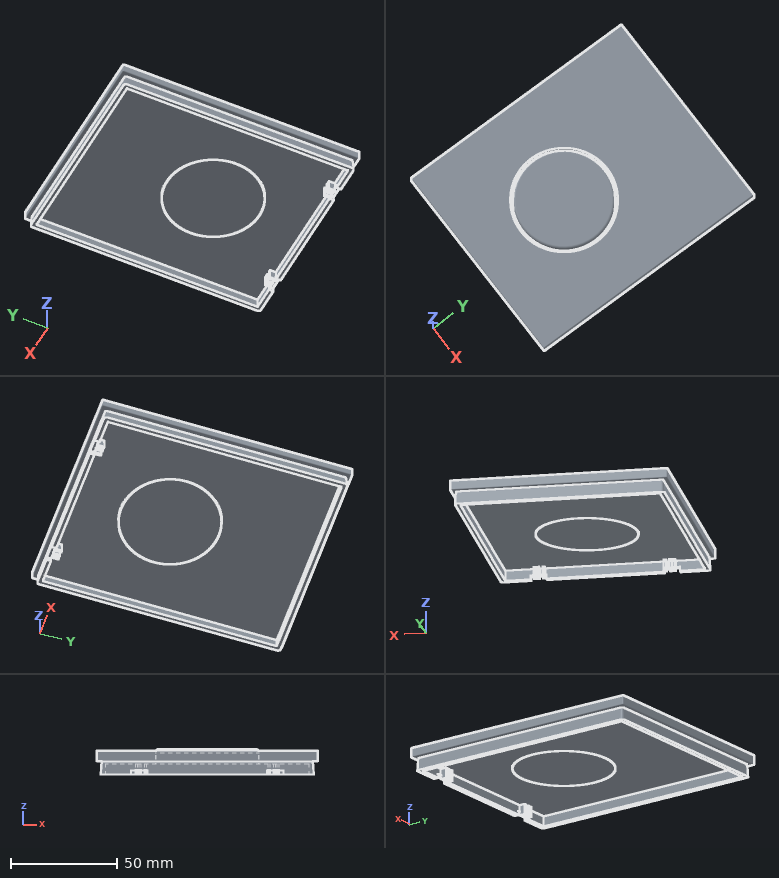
import cadquery as cq
import math

plate_x = 104.0
plate_y = 124.0
plate_thickness = 5.0
plate_edge_fillet = 0.5
total_height = 12.03

button_y = -11.0
button_radius = 24.1
button_proud = 0.8
button_edge_fillet = 1.4
button_gap = 0.25
plate_hole_chamfer = 1.0

frame_inset_x = 1.9
frame_inset_y = 1.7
frame_corner_radius = 1.3
band_height = 1.2
wall_draft = 4.0
band_draft = 12.0
wall_thickness = 2.0
web_thickness = 1.2

notch_x = 31.9
notch_width = 7.6
notch_height = 2.0
rib_width = 1.0
rib_length = 3.0
rib_offsets = (-1.4, 0.3, 2.9)

plate_top = total_height - button_proud
plate_bottom = plate_top - plate_thickness
band_bottom = plate_bottom - band_height
web_bottom = plate_bottom - web_thickness
hole_radius = button_radius + button_gap

frame_x = plate_x - 2 * frame_inset_x
frame_y = plate_y - 2 * frame_inset_y
wall_shrink = band_bottom * math.tan(math.radians(wall_draft))
cavity_x = frame_x - 2 * (wall_shrink + wall_thickness)
cavity_y = frame_y - 2 * (wall_shrink + wall_thickness)


def rounded_block(size_x, size_y, corner_radius, bottom, height, draft):
    """Block with round corners whose sides lean inwards by the draft angle."""
    outline = cq.Sketch().rect(size_x, size_y).vertices().fillet(corner_radius)
    return cq.Workplane("XY").workplane(offset=bottom).placeSketch(outline).extrude(height, taper=draft)


def button_disc(radius, bottom, top):
    """Cylinder on the button axis between two heights."""
    return cq.Workplane("XY", origin=(0, button_y, bottom)).circle(radius).extrude(top - bottom)


def make_plate():
    """Cover plate with softened edges and a chamfered hole for the button."""
    plate = (
        cq.Workplane("XY")
        .box(plate_x, plate_y, plate_thickness, centered=(True, True, False))
        .translate((0, 0, plate_bottom))
        .edges()
        .fillet(plate_edge_fillet)
    )
    hole = button_disc(hole_radius, plate_bottom, plate_top)
    chamfer = (
        cq.Workplane("XY", origin=(0, button_y, plate_top))
        .circle(hole_radius + plate_hole_chamfer)
        .workplane(offset=-plate_hole_chamfer)
        .circle(hole_radius)
        .loft()
    )
    return plate.cut(hole).cut(chamfer)


def make_button():
    """Round push button with a rounded top edge."""
    button = button_disc(button_radius, web_bottom, total_height)
    return button.faces(">Z").edges().fillet(button_edge_fillet)


def make_frame():
    """Open-bottomed frame with clip notches and ribs in the front wall."""
    wall = rounded_block(frame_x, frame_y, frame_corner_radius, 0, band_bottom, wall_draft)
    band = rounded_block(
        frame_x - 2 * wall_shrink,
        frame_y - 2 * wall_shrink,
        frame_corner_radius - wall_shrink,
        band_bottom,
        band_height,
        band_draft,
    )
    cavity = cq.Workplane("XY").box(cavity_x, cavity_y, web_bottom, centered=(True, True, False))
    opening = button_disc(hole_radius, 0, plate_bottom)
    frame = wall.union(band).cut(cavity).cut(opening)

    wall_inner_y = -cavity_y / 2
    wall_outer_y = -frame_y / 2
    notch_depth = wall_inner_y - wall_outer_y
    for side in (-1, 1):
        notch = cq.Workplane("XY").box(notch_width, notch_depth, notch_height, centered=(True, False, False))
        frame = frame.cut(notch.translate((side * notch_x, wall_outer_y, 0)))
        for offset in rib_offsets:
            rib = cq.Workplane("XY").box(rib_width, rib_length, web_bottom, centered=(True, False, False))
            frame = frame.union(rib.translate((side * (notch_x - offset), wall_inner_y, 0)))
    return frame


plate = make_plate()
button = make_button()
frame = make_frame()

result = cq.Compound.makeCompound([plate.val(), button.val(), frame.val()])